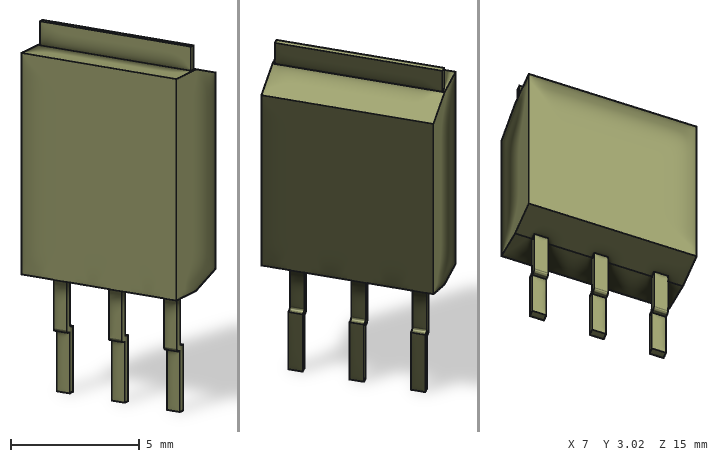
import cadquery as cq

total_height = 15.01

housing_width = 7.0
housing_depth = 3.02
housing_bottom = 5.03
housing_top = 14.03
taper_start = housing_depth / 2
taper_drop = 0.51

tab_width = 6.81
tab_thickness = 0.23
tab_front = 1.26

lead_count = 3
lead_pitch = 2.49
lead_width = 0.59
lead_thickness = 0.27
lead_front = tab_front
lead_jog = 0.23
jog_bottom = 2.49
jog_top = 2.69
bend_radius = 0.12


def extrude_across_x(profile, width):
    """Extrude a YZ profile symmetrically about X = 0."""
    return profile.extrude(width / 2, both=True)


def make_housing():
    """Block whose rear half tapers at the top and the bottom."""
    profile = (
        cq.Workplane("YZ")
        .moveTo(0, housing_bottom)
        .lineTo(taper_start, housing_bottom)
        .lineTo(housing_depth, housing_bottom + taper_drop)
        .lineTo(housing_depth, housing_top - taper_drop)
        .lineTo(taper_start, housing_top)
        .lineTo(0, housing_top)
        .close()
    )
    return extrude_across_x(profile, housing_width)


def make_tab():
    """Flat plate standing on top of the housing."""
    return cq.Workplane("XY", origin=(0, tab_front + tab_thickness / 2, housing_top)).rect(
        tab_width, tab_thickness
    ).extrude(total_height - housing_top)


def make_lead(x_position):
    """Flat lead that jogs rearward, rounded at the front of the jog and behind it."""
    upper_back = lead_front + lead_thickness
    lower_front = lead_front + lead_jog
    lower_back = lower_front + lead_thickness
    profile = (
        cq.Workplane("YZ")
        .moveTo(lower_front, 0)
        .lineTo(lower_back, 0)
        .lineTo(lower_back, jog_top)
        .lineTo(upper_back + bend_radius, jog_top)
        .tangentArcPoint((upper_back, jog_top + bend_radius), relative=False)
        .lineTo(upper_back, housing_bottom)
        .lineTo(lead_front, housing_bottom)
        .lineTo(lead_front, jog_bottom + bend_radius)
        .tangentArcPoint((lead_front + bend_radius, jog_bottom), relative=False)
        .lineTo(lower_front, jog_bottom)
        .close()
    )
    return extrude_across_x(profile, lead_width).translate((x_position, 0, 0))


housing = make_housing()
tab = make_tab()
leads = []
for index in range(lead_count):
    lead_x = (index - (lead_count - 1) / 2) * lead_pitch
    leads.append(make_lead(lead_x))

result = cq.Compound.makeCompound([housing.val(), tab.val(), *[lead.val() for lead in leads]])